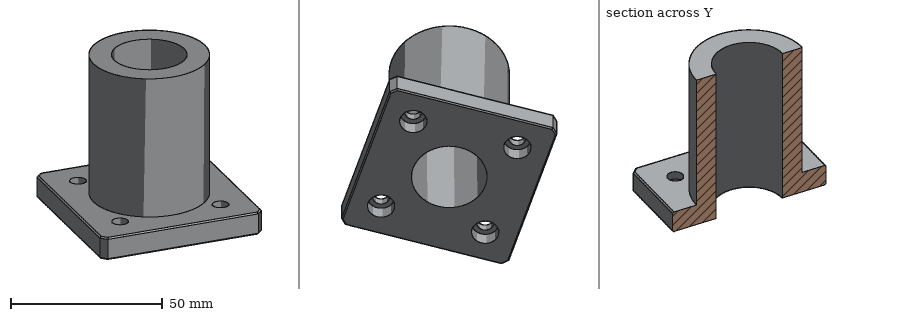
import math

import cadquery as cq

flange_side = 58.0
flange_thickness = 8.0
corner_chamfer = 2.0
edge_chamfer = 0.5

total_height = 58.0
sleeve_diameter = 40.0
bore_diameter = 25.0

hole_diameter = 5.5
counterbore_diameter = 9.0
counterbore_depth = 5.1
bolt_circle_diameter = 51.0
hole_spacing = bolt_circle_diameter / math.sqrt(2)


def make_flange():
    """Square plate with cut corners and small chamfers on its top and bottom rims."""
    plate = cq.Workplane("XY").rect(flange_side, flange_side).extrude(flange_thickness)
    plate = plate.edges("|Z").chamfer(corner_chamfer)
    return plate.faces("<Z or >Z").edges().chamfer(edge_chamfer)


def make_sleeve():
    """Solid cylinder running the full height of the part."""
    return cq.Workplane("XY").circle(sleeve_diameter / 2).extrude(total_height)


def make_bore():
    """Cutter for the through bore along the sleeve axis."""
    return cq.Workplane("XY").circle(bore_diameter / 2).extrude(total_height)


def make_hole_pattern(diameter, depth):
    """Cutters for four round holes rising from the underside of the flange."""
    centres = cq.Workplane("XY").rect(hole_spacing, hole_spacing, forConstruction=True).vertices()
    return centres.circle(diameter / 2).extrude(depth)


mounting_holes = make_hole_pattern(hole_diameter, flange_thickness)
counterbores = make_hole_pattern(counterbore_diameter, counterbore_depth)

body = make_flange().union(make_sleeve())
result = body.cut(make_bore()).cut(mounting_holes).cut(counterbores)